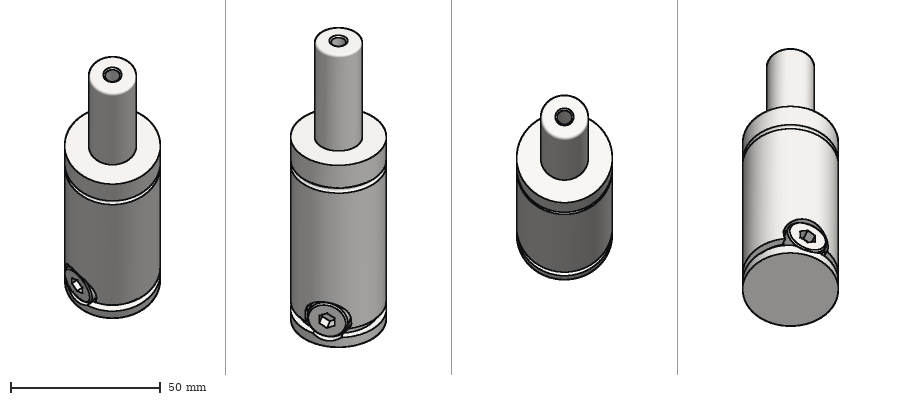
import cadquery as cq
import math

total_height = 116.0
body_diameter = 32.0
body_height = 76.0
body_radius = body_diameter / 2

rod_diameter = 16.0
rod_edge_radius = 1.0
rod_hole_diameter = 5.0
rod_hole_depth = 13.9
rod_hole_chamfer = 0.6
drill_tip_angle = 118.0

base_flange_height = 4.1
base_groove_width = 3.5
base_groove_diameter = 27.1
ring_groove_height = 65.4
ring_groove_radius = 1.0

plug_height = 10.4
plug_diameter = 14.0
plug_face_distance = 15.5
plug_chamfer = 0.6
recess_diameter = 16.0
recess_floor_distance = 10.9
hex_across_flats = 5.3
hex_depth = 4.0


def make_body():
    """Cylinder with a square groove near the base and a round groove near the top."""
    base_groove_radius = base_groove_diameter / 2
    base_groove_top = base_flange_height + base_groove_width
    profile = (
        cq.Workplane("XZ")
        .lineTo(body_radius, 0)
        .lineTo(body_radius, base_flange_height)
        .lineTo(base_groove_radius, base_flange_height)
        .lineTo(base_groove_radius, base_groove_top)
        .lineTo(body_radius, base_groove_top)
        .lineTo(body_radius, ring_groove_height - ring_groove_radius)
        .threePointArc(
            (body_radius - ring_groove_radius, ring_groove_height),
            (body_radius, ring_groove_height + ring_groove_radius),
        )
        .lineTo(body_radius, body_height)
        .lineTo(0, body_height)
        .close()
    )
    return profile.revolve(360, (0, 0, 0), (0, 1, 0))


def make_rod():
    """Piston rod with a rounded end, rising from the top of the body."""
    return (
        cq.Workplane("XY", origin=(0, 0, body_height))
        .circle(rod_diameter / 2)
        .extrude(total_height - body_height)
        .faces(">Z")
        .edges()
        .fillet(rod_edge_radius)
    )


def make_rod_hole():
    """Chamfered blind hole with a conical drill tip, as a solid to cut away."""
    radius = rod_hole_diameter / 2
    shoulder = total_height - rod_hole_depth
    tip_length = radius / math.tan(math.radians(drill_tip_angle / 2))
    profile = (
        cq.Workplane("XZ")
        .moveTo(0, total_height)
        .lineTo(radius + rod_hole_chamfer, total_height)
        .lineTo(radius, total_height - rod_hole_chamfer)
        .lineTo(radius, shoulder)
        .lineTo(0, shoulder - tip_length)
        .close()
    )
    return profile.revolve(360, (0, 0, 0), (0, 1, 0))


def side_plane(distance):
    """Plane facing -Y, centred on the plug axis at a distance from the body axis."""
    return cq.Workplane("XZ", origin=(0, -distance, plug_height))


def make_recess():
    """Round recess from its floor out to the body surface."""
    depth = body_radius - recess_floor_distance
    return side_plane(recess_floor_distance).circle(recess_diameter / 2).extrude(depth)


def make_plug():
    """Chamfered plug with a hexagon socket, two corners of which lie on Z."""
    plug = (
        side_plane(recess_floor_distance)
        .circle(plug_diameter / 2)
        .extrude(plug_face_distance - recess_floor_distance)
        .faces("<Y")
        .edges()
        .chamfer(plug_chamfer)
    )
    hex_across_corners = hex_across_flats / math.cos(math.pi / 6)
    socket = (
        side_plane(plug_face_distance)
        .transformed(rotate=(0, 0, 90))
        .polygon(6, hex_across_corners)
        .extrude(-hex_depth)
    )
    return plug.cut(socket)


body = make_body().cut(make_recess()).union(make_plug())
result = body.union(make_rod()).cut(make_rod_hole())